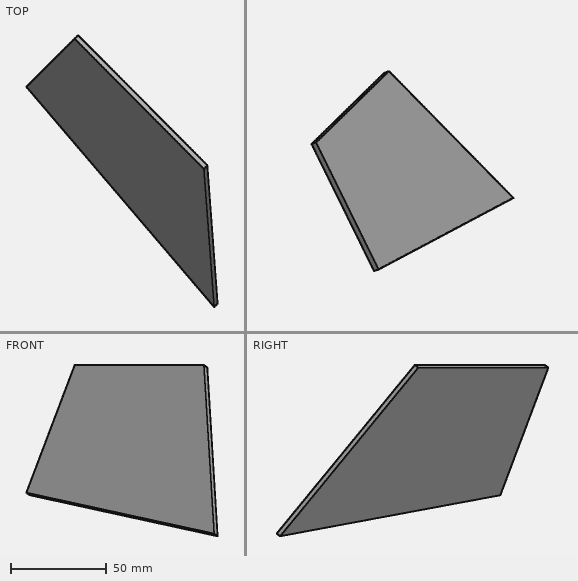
import cadquery as cq
import math

thickness = 3.0
lean_angle = 28.1
facing_angle = 45.2

top_edge = 96.35
left_edge = 76.02
tip_across = 151.66
tip_down = 100.44

lean = math.radians(lean_angle)
facing = math.radians(facing_angle)

top_edge_direction = (math.cos(facing), -math.sin(facing), 0)
front_normal = (
    -math.sin(facing) * math.cos(lean),
    -math.cos(facing) * math.cos(lean),
    math.sin(lean),
)


def make_plate():
    """Draw the outline on the leaning front face and thicken it backwards."""
    front_face = cq.Plane(
        origin=(0, 0, 0),
        xDir=top_edge_direction,
        normal=front_normal,
    )
    outline = [
        (0, 0),
        (top_edge, 0),
        (tip_across, -tip_down),
        (0, -left_edge),
    ]
    return cq.Workplane(front_face).polyline(outline).close().extrude(-thickness)


result = make_plate()